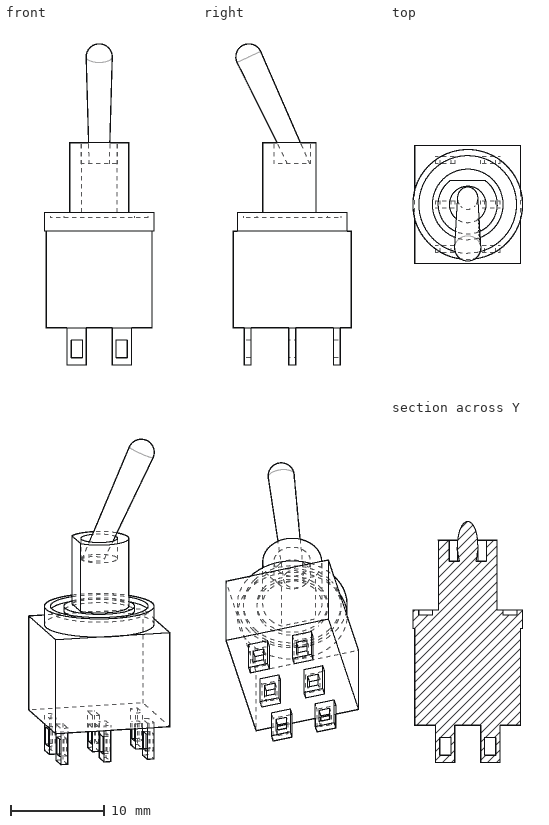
import cadquery as cq
import math

terminal_length = 4.0
body_width = 11.4
body_depth = 12.7
body_height = 10.4
body_top = terminal_length + body_height

terminal_width = 2.1
terminal_thickness = 0.75
terminal_pitch_x = 4.87
terminal_pitch_y = 4.8
eye_width = 1.17
eye_height = 1.9
eye_bottom = 0.8
eye_pitch_x = 4.8

collar_diameter = 11.8
collar_height = 2.0
collar_top = body_top + collar_height
groove_outer_diameter = 10.5
groove_inner_diameter = 7.6
groove_depth = 0.52

bushing_diameter = 6.35
bushing_top = 23.9
bushing_height = bushing_top - collar_top
bushing_flat_y = 2.55
bore_diameter = 3.95
bore_depth = 2.25

overall_height = 34.55
lever_tilt = 25.0
ball_radius = 1.4
ball_y = -4.65
ball_z = overall_height - ball_radius
lever_root_radius = 1.07
lever_root_z = bushing_top - bore_depth - 0.7
lever_length = (ball_z - lever_root_z) / math.cos(math.radians(lever_tilt))


def cylinder(diameter, height, base_z):
    return cq.Workplane("XY", origin=(0, 0, base_z)).circle(diameter / 2).extrude(height)


def make_body():
    return cq.Workplane("XY", origin=(0, 0, terminal_length)).rect(body_width, body_depth).extrude(body_height)


def make_collar():
    groove_floor = collar_top - groove_depth
    groove = cylinder(groove_outer_diameter, groove_depth, groove_floor).cut(
        cylinder(groove_inner_diameter, groove_depth, groove_floor)
    )
    return cylinder(collar_diameter, collar_height, body_top).cut(groove)


def make_bushing():
    radius = bushing_diameter / 2
    flat_limit = (
        cq.Workplane("XY", origin=(0, 0, collar_top))
        .box(bushing_diameter, radius + bushing_flat_y, bushing_height, centered=(True, False, False))
        .translate((0, -radius, 0))
    )
    bushing = cylinder(bushing_diameter, bushing_height, collar_top).intersect(flat_limit)
    return bushing.cut(cylinder(bore_diameter, bore_depth, bushing_top - bore_depth))


def make_lever():
    return (
        cq.Workplane("XZ")
        .moveTo(0, -lever_length)
        .lineTo(lever_root_radius, -lever_length)
        .lineTo(ball_radius, 0)
        .radiusArc((0, ball_radius), -ball_radius)
        .close()
        .revolve(360, (0, 0), (0, 1))
        .rotate((0, 0, 0), (1, 0, 0), lever_tilt)
        .translate((0, ball_y, ball_z))
    )


def make_terminal(side, row):
    y = row * terminal_pitch_y
    blade = (
        cq.Workplane("XY")
        .box(terminal_width, terminal_thickness, terminal_length, centered=(True, True, False))
        .translate((side * terminal_pitch_x / 2, y, 0))
    )
    eye = (
        cq.Workplane("XY")
        .box(eye_width, terminal_thickness, eye_height, centered=(True, True, False))
        .translate((side * eye_pitch_x / 2, y, eye_bottom))
    )
    return blade.cut(eye)


result = make_body().union(make_collar()).union(make_bushing()).union(make_lever())
for side in (-1, 1):
    for row in (-1, 0, 1):
        result = result.union(make_terminal(side, row))